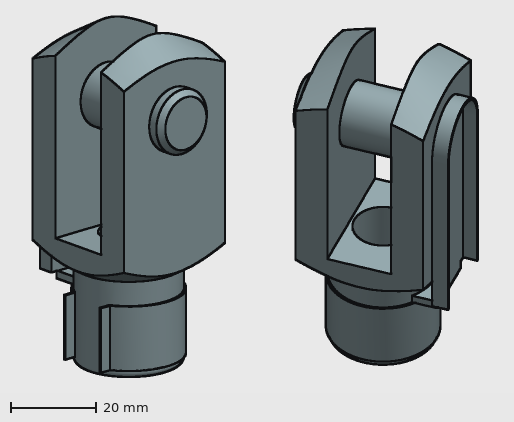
import cadquery as cq
import math

fork_width = 32.0
fork_height = 83.0
fork_bottom = 24.0
slot_width = 16.0
slot_floor = 32.0
cone_slope = math.tan(math.radians(30))

neck_diameter = 26.0
neck_edge_radius = 1.2
bore_diameter = 14.38

pin_diameter = 16.0
pin_height = 64.0
pin_end = 20.0
pin_chamfer = 1.5

sheet = 0.5
clip_width = 20.0
clip_depth = 4.0
clip_bottom = 20.0
tab_width = 16.0
band_bottom = 2.0
band_top = 18.0
band_gap = 12.0
ear_reach = 14.6

half_fork = fork_width / 2
neck_radius = neck_diameter / 2
panel_outer = -half_fork - sheet
clip_outer = -half_fork - clip_depth
clip_radius = clip_width / 2
band_radius = neck_radius + sheet


def cylinder(radius, bottom, top):
    return cq.Workplane("XY").workplane(offset=bottom).circle(radius).extrude(top - bottom)


def box(x_range, y_range, z_range):
    """Axis-aligned box given by its lower and upper limit along each axis."""
    lows, highs = zip(x_range, y_range, z_range)
    size = [high - low for low, high in zip(lows, highs)]
    return cq.Workplane("XY").box(*size, centered=False).translate(lows)


def make_fork():
    """Square block turned to a cone at both ends, then slotted between the prongs."""
    block = box((-half_fork, half_fork), (-half_fork, half_fork), (fork_bottom, fork_height))
    rim = fork_width
    tip_radius = slot_width / 2
    envelope = (
        cq.Workplane("XZ")
        .moveTo(0, fork_bottom)
        .lineTo(neck_radius, fork_bottom)
        .lineTo(rim, fork_bottom + (rim - neck_radius) * cone_slope)
        .lineTo(rim, fork_height - (rim - tip_radius) * cone_slope)
        .lineTo(tip_radius, fork_height)
        .lineTo(0, fork_height)
        .close()
        .revolve(360, (0, 0, 0), (0, 1, 0))
    )
    slot = box(
        (-slot_width / 2, slot_width / 2),
        (-half_fork, half_fork),
        (slot_floor, fork_height),
    )
    return block.intersect(envelope).cut(slot)


def make_neck():
    return cylinder(neck_radius, 0, fork_bottom).faces("<Z").edges().fillet(neck_edge_radius)


def make_pin():
    pin = cq.Workplane("YZ", origin=(-half_fork, 0, pin_height)).circle(pin_diameter / 2)
    return pin.extrude(half_fork + pin_end).faces(">X").chamfer(pin_chamfer)


def round_topped_plate(radius, bottom, x_start, x_end):
    """Upright plate whose top is a half circle about the pin axis."""
    return (
        cq.Workplane("YZ", origin=(x_start, 0, 0))
        .moveTo(-radius, bottom)
        .lineTo(-radius, pin_height)
        .threePointArc((0, pin_height + radius), (radius, pin_height))
        .lineTo(radius, bottom)
        .close()
        .extrude(x_end - x_start)
    )


def make_clip_cover():
    """Shallow tray against the fork: back panel with a thin upright rim, open at the bottom."""
    tray = round_topped_plate(clip_radius, clip_bottom, clip_outer, -half_fork)
    recess = round_topped_plate(clip_radius - sheet, clip_bottom, clip_outer, panel_outer)
    return tray.cut(recess)


def make_clip_tab():
    """Bridge from the back panel to the neck and the band below it."""
    return box((panel_outer, 0), (-tab_width / 2, tab_width / 2), (band_top, clip_bottom))


def make_clip_band():
    """Open band around the neck with an ear on each side of its gap at -Y."""
    half_gap = band_gap / 2
    band_z = (band_bottom, band_top)
    gap = box((-half_gap, half_gap), (-band_radius, 0), band_z)
    band = cylinder(band_radius, band_bottom, band_top).cut(gap)
    ear_root = -math.sqrt(neck_radius**2 - half_gap**2)
    for ear_start in (-half_gap - sheet, half_gap):
        ear = box((ear_start, ear_start + sheet), (-ear_reach, ear_root), band_z)
        band = band.union(ear)
    return band


solid = make_fork()
for piece in (make_neck(), make_pin(), make_clip_cover(), make_clip_tab(), make_clip_band()):
    solid = solid.union(piece)
result = solid.cut(cylinder(bore_diameter / 2, 0, slot_floor))